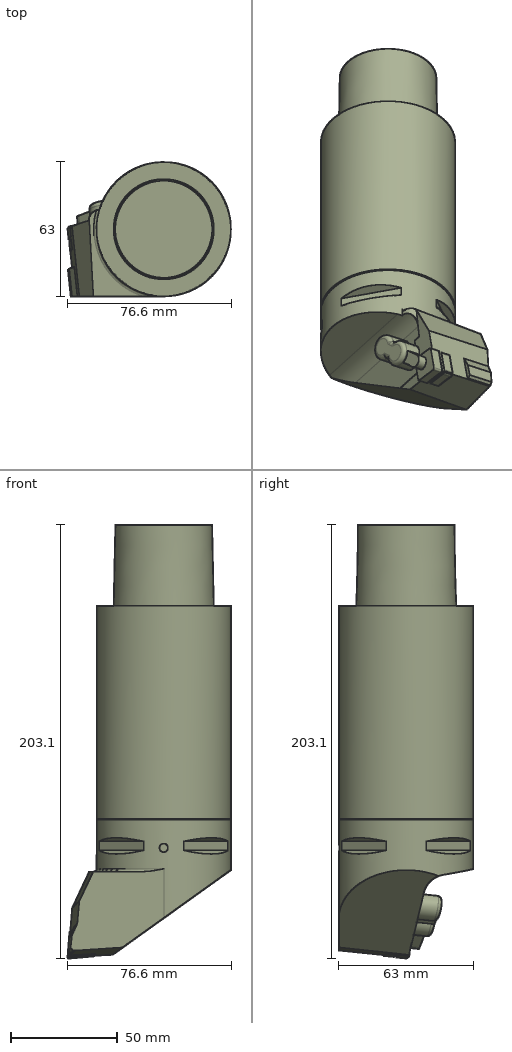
import cadquery as cq
import math

body_radius = 31.5
shank_length = 38.0
shank_base_radius = 23.5
shank_top_radius = 22.7
adapter_length = 100.0
joint_chamfer = 0.4

flange_height = 23.0
flange_bottom_z = -(adapter_length + flange_height)
slot_count = 4
first_slot_angle = 45.0
slot_center_z = -112.3
slot_floor_distance = 27.9
slot_floor_height = 4.2
slot_mouth_height = 7.6
coding_hole_z = -113.2
coding_hole_diameter = 4.0
coding_hole_depth = 1.5

tip_x = -45.15
tip_y = 0.0
tip_z = -165.16
tilt_slope = 0.104
insert_side = 12.9
insert_corner_angle = 80.0
insert_thickness = 4.76
insert_nose_radius = 0.8
edge_clearance = 5.0

shim_gap = 1.4
shim_thickness = 4.7
shim_inset = 0.05
shim_corner_radius = 1.5

diagonal_top_z = -123.6
diagonal_angle = 35.6
neck_bottom_z = -158.0
block_top_z = -124.3
corner_fillet = 4.9
corner_fillet_top_y = 9.0
corner_fillet_bottom_z = -140.0
block_inset = 0.3
block_bottom_v = 0.6
block_bottom_slope = 0.055
shoulder_v = 23.7
shoulder_slope = 0.48
block_width = 70.0
block_depth = 45.0
block_back = 12.0
boss_corner_bevel = 1.2
boss_offset = 2.0
boss_start_depth = 19.3
boss_ramp_top = 13.2
boss_ramp_bottom = 7.9

floor_slope_x = 0.1
floor_slope_z = 0.1
floor_tip_y = -1.0
roof_slope = 0.168
roof_edge_z = -122.5
roof_fillet = 9.0

clamp_lobe_radius = 6.0
clamp_lobe_places = (14.5, 25.0)
clamp_waist = 8.5
clamp_nose_place = 1.5
clamp_nose_width = 6.0
clamp_root = -3.0
clamp_top_start = 6.8
clamp_top_slope = 0.15
clamp_top_fillet = 2.0
nose_bottom_height = 0.3
nose_top_start = 4.4
nose_top_slope = 0.12

far = 120.0

tilted = cq.Plane(
    origin=(tip_x, tip_y, tip_z),
    xDir=(1, tilt_slope, 0),
    normal=(tilt_slope, -1, tilt_slope),
)
clearance_slope = math.tan(math.radians(edge_clearance))


def tilted_plane(depth):
    """Tilted frame moved forward from the insert's rake face by depth."""
    return cq.Workplane(tilted).workplane(offset=depth)


def adapter_body():
    """Cylindrical extension with a slightly tapered shank on top."""
    shank = (
        cq.Workplane("XZ").polyline([
            (0, 0), (shank_base_radius, 0), (shank_top_radius, shank_length), (0, shank_length),
        ]).close().revolve(360, (0, 0, 0), (0, 1, 0))
    )
    barrel = cq.Workplane("XY").circle(body_radius).extrude(-adapter_length)
    return barrel.faces("<Z").edges().chamfer(joint_chamfer).union(shank)


def tip_plate(depth, thickness, inset, nose_radius):
    """Rhombic plate with its sharp corner at the cutting tip and rounded corners."""
    first = math.radians(edge_clearance)
    second = math.radians(edge_clearance + insert_corner_angle)
    along = (insert_side * math.cos(first), insert_side * math.sin(first))
    up = (insert_side * math.cos(second), insert_side * math.sin(second))
    plate = (
        tilted_plane(depth)
        .polyline([(0, 0), along, (along[0] + up[0], along[1] + up[1]), up]).close()
    )
    if inset:
        plate = plate.offset2D(-inset)
    side_edges = cq.selectors.ParallelDirSelector(tilted.zDir)
    return plate.extrude(thickness).edges(side_edges).fillet(nose_radius)


def shim():
    """Seat under the insert, proud of the block's side."""
    return tip_plate(insert_thickness + shim_gap, shim_thickness, shim_inset, shim_corner_radius)


def flange():
    """Flange with gripper slots on the diagonals and a coding hole at the front."""
    ring = (
        cq.Workplane("XY").workplane(offset=flange_bottom_z)
        .circle(body_radius).extrude(flange_height)
    )
    for number in range(slot_count):
        slot = (
            cq.Workplane("XZ")
            .polyline([
                (slot_floor_distance, slot_floor_height / 2),
                (body_radius, slot_mouth_height / 2),
                (far, slot_mouth_height / 2),
                (far, -slot_mouth_height / 2),
                (body_radius, -slot_mouth_height / 2),
                (slot_floor_distance, -slot_floor_height / 2),
            ]).close().extrude(body_radius, both=True)
            .translate((0, 0, slot_center_z))
            .rotate((0, 0, 0), (0, 0, 1), first_slot_angle + 360 / slot_count * number)
        )
        ring = ring.cut(slot)
    hole = (
        cq.Workplane("XZ", origin=(0, -body_radius, coding_hole_z))
        .circle(coding_hole_diameter / 2).extrude(-coding_hole_depth)
    )
    return ring.cut(hole)


def chip_space():
    """Scoop behind the neck: sloping floor and roof joined by a fillet."""
    across = cq.Plane(
        origin=(tip_x, floor_tip_y, tip_z),
        xDir=(-floor_slope_x, 1, 0),
        normal=(1, floor_slope_x, 0),
    )
    roof_at_origin = roof_edge_z - roof_slope * body_radius - tip_z
    corner_v = roof_at_origin / (1 - roof_slope * floor_slope_z)
    corner_u = corner_v * floor_slope_z
    low = -2 * block_back
    return (
        cq.Workplane(across).polyline([
            (corner_u, corner_v),
            (far, roof_at_origin + roof_slope * far),
            (far, low),
            (low * floor_slope_z, low),
        ]).close().extrude(far)
        .edges(cq.selectors.NearestToPointSelector(
            (tip_x + far / 2, corner_u + floor_slope_x * far / 2, tip_z + corner_v)))
        .fillet(roof_fillet)
    )


def floor_cutter():
    """Everything behind the sloping floor, to trim the block's back."""
    floor = cq.Plane(
        origin=(tip_x, floor_tip_y, tip_z),
        xDir=(1, floor_slope_x, 0),
        normal=(-floor_slope_x, 1, -floor_slope_z),
    )
    return cq.Workplane(floor).rect(2 * far, 2 * far).extrude(far)


def neck():
    """Post under the flange, filleted to the block's back and scooped by the chip space."""
    post = (
        cq.Workplane("XY").workplane(offset=flange_bottom_z)
        .circle(body_radius).extrude(neck_bottom_z - flange_bottom_z)
    )
    return post.union(corner_web()).cut(chip_space())


def corner_web():
    """Upright concave fillet between the neck and the back of the block."""
    wall_x = -math.sqrt(body_radius**2 - corner_fillet_top_y**2)
    center_x = wall_x - corner_fillet
    return (
        cq.Workplane("XY").workplane(offset=block_top_z)
        .moveTo(center_x, 0).lineTo(wall_x + corner_fillet, 0)
        .lineTo(wall_x + corner_fillet, corner_fillet_top_y).lineTo(wall_x, corner_fillet_top_y)
        .radiusArc((center_x, corner_fillet_top_y - corner_fillet), -corner_fillet).close()
        .extrude(corner_fillet_bottom_z - block_top_z)
        .intersect(block_prism())
    )


def root_fillet():
    """Concave ring between the flange and the flat top of the block."""
    size = flange_bottom_z - block_top_z
    ring = (
        cq.Workplane("XZ")
        .moveTo(body_radius - size, flange_bottom_z).lineTo(body_radius, flange_bottom_z)
        .radiusArc((body_radius + size, block_top_z), -size)
        .lineTo(body_radius - size, block_top_z).close()
        .revolve(360, (0, 0, 0), (0, 1, 0))
    )
    corner = (
        cq.Workplane("XY").box(
            far, body_radius + corner_fillet_top_y, far, centered=(False, False, True))
        .translate((-far, -body_radius, block_top_z))
    )
    return ring.intersect(corner)


def block_prism():
    """Side and bottom facets of the block as one tilted prism."""
    shoulder_u = block_inset + shoulder_v * clearance_slope
    prism_top_v = 2 * shoulder_v
    return (
        tilted_plane(-block_back)
        .polyline([
            (block_inset, block_bottom_v),
            (shoulder_u, shoulder_v),
            (shoulder_u + shoulder_slope * (prism_top_v - shoulder_v), prism_top_v),
            (block_width, prism_top_v),
            (block_width, block_bottom_v + block_width * block_bottom_slope),
        ]).close().extrude(block_depth + block_back)
    )


def block():
    """Tilted prism with its heel boss, trimmed flat at the front and on top."""
    boss = (
        tilted_plane(boss_start_depth)
        .polyline([
            (block_inset - boss_offset + boss_corner_bevel, block_bottom_v),
            (block_inset - boss_offset, block_bottom_v + boss_corner_bevel),
            (block_inset - boss_offset + boss_ramp_bottom * clearance_slope, boss_ramp_bottom),
            (block_inset + boss_ramp_top * clearance_slope, boss_ramp_top),
            (body_radius / 2, boss_ramp_top),
            (body_radius / 2, block_bottom_v + body_radius / 2 * block_bottom_slope),
        ]).close().extrude(block_depth - boss_start_depth)
    )
    room = (
        cq.Workplane("XY").box(far, far, far, centered=(True, False, False))
        .translate((-far / 2, -body_radius, block_top_z - far))
    )
    return block_prism().union(boss).intersect(room).cut(floor_cutter())


def clamp():
    """Two-lobed clamp with a sloping top and a nose resting on the insert."""
    half_diagonal = insert_side * math.cos(math.radians(insert_corner_angle / 2))
    direction = math.radians(edge_clearance + insert_corner_angle / 2)
    along = tilted.xDir * math.cos(direction) + tilted.yDir * math.sin(direction)
    frame = cq.Plane(
        origin=tilted.origin + along * half_diagonal, xDir=along, normal=tilted.zDir * -1
    )
    side_frame = cq.Plane(origin=frame.origin, xDir=along, normal=frame.yDir * -1)
    front, back = clamp_lobe_places
    length = back + 2 * clamp_lobe_radius
    base = cq.Workplane(frame).workplane(offset=clamp_root)
    lobes = base.center((front + back) / 2, 0).rect(back - front, clamp_waist).extrude(length)
    for place in clamp_lobe_places:
        lobes = lobes.union(base.moveTo(place, 0).circle(clamp_lobe_radius).extrude(length))
    top_shape = (
        cq.Workplane(side_frame).polyline([
            (0, clamp_root), (0, clamp_top_start),
            (length, clamp_top_start + clamp_top_slope * length), (length, clamp_root),
        ]).close().extrude(length, both=True)
    )
    nose = (
        cq.Workplane(frame).center((clamp_nose_place + front) / 2, 0)
        .slot2D(front - clamp_nose_place + clamp_nose_width, clamp_nose_width).extrude(length)
    )
    nose_start = clamp_nose_place - clamp_nose_width / 2
    nose_shape = (
        cq.Workplane(side_frame).polyline([
            (nose_start, nose_bottom_height), (nose_start, nose_top_start),
            (front, nose_top_start + nose_top_slope * (front - nose_start)),
            (front, nose_bottom_height),
        ]).close().extrude(length, both=True)
    )
    lobes = lobes.intersect(top_shape)
    top_face = cq.selectors.DirectionMinMaxSelector(frame.zDir)
    lobes = lobes.faces(top_face).edges().fillet(clamp_top_fillet)
    return lobes.union(nose.intersect(nose_shape))


def diagonal_keep():
    """Everything above the sloping underside of the head."""
    return (
        cq.Workplane("XZ").polyline([
            (body_radius, diagonal_top_z),
            (body_radius - far, diagonal_top_z - far * math.tan(math.radians(diagonal_angle))),
            (body_radius - far, 0),
            (body_radius, 0),
        ]).close().extrude(far, both=True)
    )


def head_body():
    """Flange, neck, block, shim and clamp as one solid."""
    lower = neck().union(block()).intersect(diagonal_keep())
    return flange().union(lower).union(root_fillet()).union(shim()).union(clamp())


adapter = adapter_body()
insert = tip_plate(0, insert_thickness, 0, insert_nose_radius)
head = head_body().cut(insert)
result = cq.Compound.makeCompound([adapter.val(), *head.vals(), insert.val()])